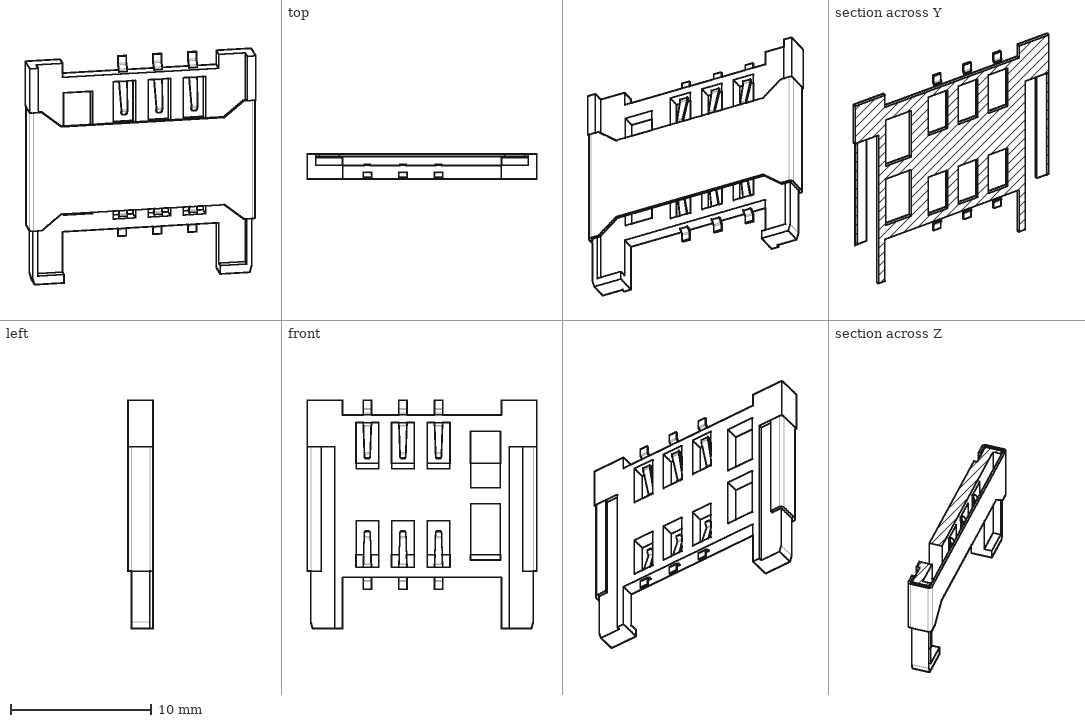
import cadquery as cq
import math

WIDTH = 16.4
DEPTH = 1.8
HEIGHT = 16.3
HALF_WIDTH = WIDTH / 2

FLOOR_THICKNESS = 0.98
WALL_BACK_Y = 1.55
WALL_INNER_X = 7.58
LEG_OUTER_X = 7.95
LEG_INNER_X = 5.65
BLOCK_BOTTOM_Z = 12.97
PANEL_BOTTOM_Z = 3.65
PANEL_TOP_Z = 15.25
FOOT_HEIGHT = 0.64
FRONT_RECESS_DEPTH = 0.25
RECESS_INNER_X = 6.22
LEG_CHAMFER_WIDTH = 0.15
LEG_CHAMFER_HEIGHT = 0.51

CONTACT_WINDOW_WIDTH = 1.6
CONTACT_WINDOW_HEIGHT = 3.3
LOWER_CONTACT_WINDOW_Z = 4.4
UPPER_CONTACT_WINDOW_Z = 11.4
SIDE_WINDOW_X = 3.48
SIDE_WINDOW_WIDTH = 2.12
SIDE_WINDOW_HEIGHT = 4.0
LOWER_SIDE_WINDOW_Z = 4.9
UPPER_SIDE_WINDOW_Z = 10.07

COVER_THICKNESS = 0.2
COVER_BEND_RADIUS = 0.25
COVER_BOTTOM_Z = 4.1
COVER_TOP_Z = BLOCK_BOTTOM_Z
COVER_LIP_INNER_X = 7.2
COVER_NOTCH_DEPTH = 1.16
COVER_NOTCH_HALF_WIDTH = 7.33
COVER_NOTCH_FLOOR_HALF_WIDTH = 5.9

TERMINAL_COLUMNS = 3
TERMINAL_PITCH = 2.55
MIDDLE_COLUMN_X = -1.36
UPPER_TAIL_Z = HEIGHT
LOWER_TAIL_Z = 2.8

STRIP_THICKNESS = 0.15
STRIP_WIDTH = 0.6
STRIP_BEND_RADIUS = 0.13
TAIL_REACH = 0.62
STEM_START_REACH = 0.93
STEM_END_REACH = 1.8
CREST_REACH = 3.75
TIP_REACH = 4.1
STEM_Y = 0.35
CREST_Y = 0.92
TIP_Y = 0.69
BLADE_ROOT_WIDTH = 0.57
BLADE_TIP_WIDTH = 0.41
TERMINAL_LENGTH = 4.2
TIP_CORNER_RADIUS = 0.2

COLUMN_XS = [
    MIDDLE_COLUMN_X + (column - (TERMINAL_COLUMNS - 1) / 2) * TERMINAL_PITCH
    for column in range(TERMINAL_COLUMNS)
]


def box_between(x_range, y_range, z_range):
    """Box spanning the given (low, high) ranges."""
    (x0, x1), (y0, y1), (z0, z1) = x_range, y_range, z_range
    return cq.Workplane("XY").box(x1 - x0, y1 - y0, z1 - z0, centered=False).translate((x0, y0, z0))


def with_mirror(body):
    """The body together with its mirror image across X = 0."""
    return body.union(body.mirror("YZ"))



def thickened(front, thickness):
    """Closed outline of a bent strip: its front line plus a mitred parallel line behind it."""
    angles = [math.atan2(y1 - y0, d1 - d0) for (d0, y0), (d1, y1) in zip(front, front[1:])]
    before = [angles[0]] + angles
    after = angles + [angles[-1]]
    back = []
    for (reach, y), angle_in, angle_out in zip(front, before, after):
        direction = (angle_in + angle_out) / 2
        mitre = thickness / math.cos((angle_out - angle_in) / 2)
        back.append((reach - mitre * math.sin(direction), y + mitre * math.cos(direction)))
    return front + back[::-1]


def make_terminal():
    """Terminal with its tail end at Z = 0 and its contact reaching toward +Z."""
    front = [
        (0, 0),
        (TAIL_REACH, 0),
        (STEM_START_REACH, STEM_Y),
        (STEM_END_REACH, STEM_Y),
        (CREST_REACH, CREST_Y),
        (TIP_REACH, TIP_Y),
    ]
    outline = [(y, reach) for reach, y in thickened(front, STRIP_THICKNESS)]
    strip = cq.Workplane("YZ").polyline(outline).close().extrude(STRIP_WIDTH / 2, both=True)
    bends = cq.selectors.BoxSelector(
        (-STRIP_WIDTH, -DEPTH, TAIL_REACH / 2), (STRIP_WIDTH, DEPTH, (CREST_REACH + TIP_REACH) / 2)
    )
    strip = strip.edges("|X").edges(bends).fillet(STRIP_BEND_RADIUS)

    half_widths = [
        (STRIP_WIDTH / 2, 0),
        (STRIP_WIDTH / 2, STEM_END_REACH),
        (BLADE_ROOT_WIDTH / 2, STEM_END_REACH),
        (BLADE_TIP_WIDTH / 2, TERMINAL_LENGTH),
    ]
    mirrored = [(-x, reach) for x, reach in reversed(half_widths)]
    blank = cq.Workplane("XZ").polyline(half_widths + mirrored).close().extrude(-DEPTH)
    blank = blank.edges("|Y and >Z").fillet(TIP_CORNER_RADIUS)
    return strip.intersect(blank)


def make_terminals():
    upward = make_terminal()
    downward = upward.mirror("XY")
    terminals = []
    for x in COLUMN_XS:
        terminals.append(upward.translate((x, 0, LOWER_TAIL_Z)))
        terminals.append(downward.translate((x, 0, UPPER_TAIL_Z)))
    return terminals



def make_side():
    """Right-hand side of the frame: end block, leg floor, outer wall and foot."""
    block = box_between((LEG_INNER_X, HALF_WIDTH), (0, FLOOR_THICKNESS), (BLOCK_BOTTOM_Z, HEIGHT))
    block_wall = box_between((WALL_INNER_X, HALF_WIDTH), (0, DEPTH), (BLOCK_BOTTOM_Z, HEIGHT))
    leg = box_between((LEG_INNER_X, LEG_OUTER_X), (0, FLOOR_THICKNESS), (0, BLOCK_BOTTOM_Z))
    leg_wall = box_between((WALL_INNER_X, LEG_OUTER_X), (0, WALL_BACK_Y), (0, BLOCK_BOTTOM_Z))
    foot = box_between((LEG_INNER_X, LEG_OUTER_X), (0, WALL_BACK_Y), (0, FOOT_HEIGHT))
    recess = box_between((RECESS_INNER_X, HALF_WIDTH), (0, FRONT_RECESS_DEPTH), (0, BLOCK_BOTTOM_Z))
    chamfer = (
        cq.Workplane("XZ")
        .moveTo(LEG_OUTER_X, 0)
        .lineTo(LEG_OUTER_X - LEG_CHAMFER_WIDTH, 0)
        .lineTo(LEG_OUTER_X, LEG_CHAMFER_HEIGHT)
        .close()
        .extrude(-DEPTH)
    )
    side = block.union(block_wall).union(leg).union(leg_wall).union(foot)
    return side.cut(recess).cut(chamfer)


def window(x, z, width, height):
    """Cutter through the floor with its lower left corner at (x, z)."""
    return box_between((x, x + width), (0, FLOOR_THICKNESS), (z, z + height))


def make_housing(terminals):
    panel = box_between(
        (-LEG_INNER_X, LEG_INNER_X), (0, FLOOR_THICKNESS), (PANEL_BOTTOM_Z, PANEL_TOP_Z)
    )
    housing = panel.union(with_mirror(make_side()))
    for z in (LOWER_CONTACT_WINDOW_Z, UPPER_CONTACT_WINDOW_Z):
        for x in COLUMN_XS:
            left = x - CONTACT_WINDOW_WIDTH / 2
            housing = housing.cut(window(left, z, CONTACT_WINDOW_WIDTH, CONTACT_WINDOW_HEIGHT))
    for z in (LOWER_SIDE_WINDOW_Z, UPPER_SIDE_WINDOW_Z):
        housing = housing.cut(window(SIDE_WINDOW_X, z, SIDE_WINDOW_WIDTH, SIDE_WINDOW_HEIGHT))
    for terminal in terminals:
        housing = housing.cut(terminal)
    return housing



def make_cover():
    """C-shaped sheet: back plate, two bent sides and two lips turned in over the front."""
    cover_z = (COVER_BOTTOM_Z, COVER_TOP_Z)
    inner_half_width = HALF_WIDTH - COVER_THICKNESS
    outside = box_between((-HALF_WIDTH, HALF_WIDTH), (0, DEPTH), cover_z)
    outside = outside.edges("|Z").fillet(COVER_BEND_RADIUS)
    inside = box_between(
        (-inner_half_width, inner_half_width),
        (COVER_THICKNESS, DEPTH - COVER_THICKNESS),
        cover_z,
    )
    inside = inside.edges("|Z").fillet(COVER_BEND_RADIUS - COVER_THICKNESS)
    front_opening = box_between(
        (-COVER_LIP_INNER_X, COVER_LIP_INNER_X), (0, COVER_THICKNESS), cover_z
    )
    cover = outside.cut(inside).cut(front_opening)

    for edge_z, inward in ((COVER_TOP_Z, -1), (COVER_BOTTOM_Z, 1)):
        floor_z = edge_z + inward * COVER_NOTCH_DEPTH
        notch = (
            cq.Workplane("XZ")
            .moveTo(-COVER_NOTCH_HALF_WIDTH, edge_z)
            .lineTo(-COVER_NOTCH_FLOOR_HALF_WIDTH, floor_z)
            .lineTo(COVER_NOTCH_FLOOR_HALF_WIDTH, floor_z)
            .lineTo(COVER_NOTCH_HALF_WIDTH, edge_z)
            .close()
            .extrude(-COVER_THICKNESS)
            .translate((0, DEPTH - COVER_THICKNESS, 0))
        )
        cover = cover.cut(notch)
    return cover


terminals = make_terminals()
housing = make_housing(terminals)
cover = make_cover()

result = cq.Compound.makeCompound(
    [housing.val(), cover.val()] + [terminal.val() for terminal in terminals]
)